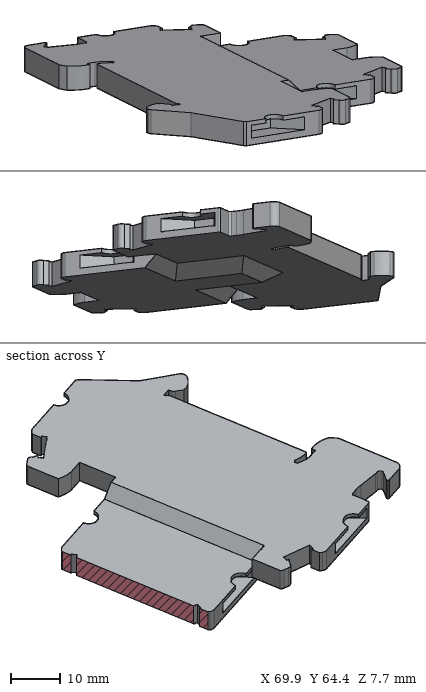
import cadquery as cq

length = 69.9
height_y = 64.4
module_thickness = 5.1
level_step = 2.6
upper_top = level_step + module_thickness

rear_left = 11.8
rear_right = 47.95
tier_step = 24.5
front_head_top = height_y - tier_step

trough_depth = 6.4
trough_throat = 3.15
trough_flare = 1.2
trough_bulge_x = 0.4
trough_bulge_drop = 1.55
rear_trough_left = 25.85
rear_trough_right = rear_left + rear_right - rear_trough_left
front_trough_right = 56.5
front_head_inner = 11.6

top_ramp_start = 35.15
top_ramp_run = 2.65
top_ramp_end = top_ramp_start + top_ramp_run
tail_root_y = 36.15
tail_tip_y = 21.0
tail_inset = 13.55
tail_upper_inset = 9.4

pocket_center_drop = 20.4
pocket_depth = 4.55
pocket_height = 2.7
pocket_roof = 0.9
screw_notch_radius = 2.0
pocket_upper_end = 7.0
pocket_deep_start = 1.6
pocket_deep_end = -2.8
pocket_lower_end = -5.4

shoulder_path = [
    (0, 10.0, False),
    (0.15, 9.5, True),
    (0.4, 9.1, False),
    (0.9, 8.7, False),
    (2.95, 8.7, False),
    (2.7, 9.1, False),
    (3.8, 9.6, False),
    (6.4, 3.8, False),
    (5.45, 3.35, False),
    (5.1, 3.8, False),
    (4.4, 2.9, False),
    (3.85, 2.25, True),
    (3.9, 1.6, False),
    (4.4, 0.6, False),
    (4.6, 0.2, True),
    (5.0, 0, False),
]


def shoulder(wire, edge_x, top_y, inward):
    """Draw shoulder, undercut and head: upward on a left side, downward on a right side."""
    path = shoulder_path if inward > 0 else reversed(shoulder_path)
    arc_middle = None
    for distance, drop, on_arc in path:
        point = (edge_x + inward * distance, top_y - drop)
        if on_arc:
            arc_middle = point
        elif arc_middle:
            wire = wire.threePointArc(arc_middle, point)
            arc_middle = None
        else:
            wire = wire.lineTo(*point)
    return wire


def trough_right_wall(wire, wall_x, top_y):
    """Draw up the right wall of a trough, ending on the flat top of the head."""
    return (
        wire.lineTo(wall_x, top_y - trough_depth)
        .lineTo(wall_x, top_y - trough_throat)
        .threePointArc(
            (wall_x + trough_bulge_x, top_y - trough_bulge_drop),
            (wall_x + trough_flare, top_y),
        )
    )


def rear_module():
    """Lower-level plate, down to where its underside starts to slope."""
    wire = cq.Workplane("XY").moveTo(rear_left, tail_root_y)
    wire = shoulder(wire, rear_left, height_y, 1)
    wire = (
        wire.lineTo(rear_trough_left - trough_flare, height_y)
        .threePointArc(
            (rear_trough_left - trough_bulge_x, height_y - trough_bulge_drop),
            (rear_trough_left, height_y - trough_throat),
        )
        .lineTo(rear_trough_left, height_y - trough_depth)
    )
    wire = trough_right_wall(wire, rear_trough_right, height_y)
    wire = shoulder(wire, rear_right, height_y, -1)
    return wire.lineTo(rear_right, tail_root_y).close().extrude(module_thickness)


def front_module():
    """Upper-level plate with the rail foot and rail hook along its lower edge."""
    wire = cq.Workplane("XY").workplane(offset=level_step).moveTo(0, 13.4)
    wire = shoulder(wire, 0, front_head_top, 1)
    wire = (
        wire.lineTo(front_head_inner, front_head_top)
        .lineTo(front_head_inner, top_ramp_start)
        .lineTo(rear_right, top_ramp_start)
        .lineTo(rear_right, front_head_top - trough_depth)
    )
    wire = trough_right_wall(wire, front_trough_right, front_head_top)
    wire = shoulder(wire, length, front_head_top, -1)
    wire = (
        wire.lineTo(length, 12.9)
        .lineTo(69.5, 12.45)
        .lineTo(58.65, 6.3)
        .lineTo(52.8, 0.3)
        .threePointArc((52.4, 0.1), (52.1, 0))
        .lineTo(51.8, 0)
        .threePointArc((51.4, 0.1), (51.0, 0.3))
        .threePointArc((50.1, 1.4), (49.5, 3.2))
        .lineTo(49.55, 4.0)
        .lineTo(50.8, 5.2)
        .threePointArc((51.3, 5.5), (52.2, 5.6))
        .lineTo(52.2, 7.35)
        .lineTo(51.7, 7.35)
        .lineTo(51.25, 6.9)
    )
    wire = (
        wire.lineTo(18.7, 6.9)
        .lineTo(18.5, 7.2)
        .threePointArc((18.8, 8.7), (19.4, 10.2))
        .threePointArc((19.1, 10.7), (18.5, 10.6))
        .threePointArc((17.7, 8.9), (17.4, 7.2))
        .lineTo(17.4, 5.5)
    )
    wire = (
        wire.lineTo(18.3, 5.5)
        .threePointArc((18.0, 2.9), (17.05, 0.9))
        .lineTo(15.45, 0)
        .lineTo(1.25, 0)
        .threePointArc((0.4, 0.5), (0, 1.55))
        .lineTo(0, 5.25)
        .lineTo(0.15, 5.6)
        .lineTo(0.5, 5.6)
        .lineTo(2.1, 4.05)
        .threePointArc((2.8, 3.85), (3.3, 4.5))
        .lineTo(3.35, 5.2)
        .lineTo(4.1, 9.65)
        .threePointArc((4.25, 10.5), (4.25, 11.4))
        .lineTo(4.25, 12.5)
        .threePointArc((4.1, 12.8), (3.85, 12.9))
        .lineTo(0.15, 12.9)
    )
    return wire.close().extrude(module_thickness)


def top_ramp():
    """Slope from the top of the front module down onto the rear module."""
    return (
        cq.Workplane("YZ", origin=(rear_left, 0, 0))
        .moveTo(top_ramp_start, level_step)
        .lineTo(top_ramp_start, upper_top)
        .lineTo(top_ramp_end, module_thickness)
        .lineTo(top_ramp_end, level_step)
        .close()
        .extrude(rear_right - rear_left)
    )


def tail_outline(root_y, tip_y, inset):
    """Corners of a T shape: a full-width root with a narrower tongue in the middle."""
    return [
        (rear_left, front_head_top),
        (rear_left, root_y),
        (rear_left + inset, root_y),
        (rear_left + inset, tip_y),
        (rear_right - inset, tip_y),
        (rear_right - inset, root_y),
        (rear_right, root_y),
        (rear_right, front_head_top),
    ]


def tail():
    """Underside of the rear module below the front module, sloped on its front and tongue sides."""
    lower = tail_outline(tail_root_y, tail_tip_y, tail_inset)
    upper = tail_outline(tail_root_y - level_step, tail_tip_y - level_step, tail_upper_inset)
    return (
        cq.Workplane("XY")
        .polyline(lower)
        .close()
        .workplane(offset=level_step)
        .polyline(upper)
        .close()
        .loft(ruled=True)
    )


def wire_entry(edge_x, head_top, module_top, inward):
    """Side pocket with a sloped lead-in, plus the half-round notch open to the top."""
    center_y = head_top - pocket_center_drop
    roof_z = module_top - pocket_roof
    floor_z = roof_z - pocket_height
    deep_x = edge_x + inward * pocket_depth
    pocket = (
        cq.Workplane("XY", origin=(0, 0, floor_z))
        .polyline([
            (edge_x, center_y + pocket_upper_end),
            (deep_x, center_y + pocket_deep_start),
            (deep_x, center_y + pocket_deep_end),
            (edge_x, center_y + pocket_lower_end),
        ])
        .close()
        .extrude(pocket_height)
    )
    notch = (
        cq.Workplane("XY", origin=(edge_x, center_y, floor_z))
        .circle(screw_notch_radius)
        .extrude(module_top - floor_z)
    )
    return pocket.union(notch)


result = rear_module().union(tail()).union(top_ramp()).union(front_module())
for edge_x, inward in ((rear_left, 1), (rear_right, -1)):
    result = result.cut(wire_entry(edge_x, height_y, module_thickness, inward))
for edge_x, inward in ((0, 1), (length, -1)):
    result = result.cut(wire_entry(edge_x, front_head_top, upper_top, inward))